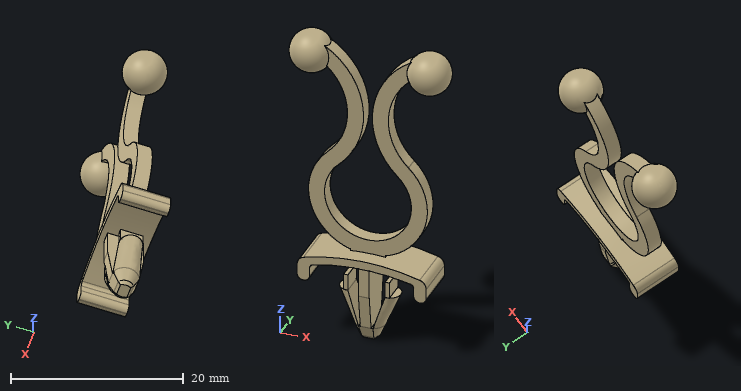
import cadquery as cq
import math

overall_width = 20.0
overall_height = 39.6

band_thickness = 2.0
band_depth = 1.85
ring_inner_radius = 5.4
ring_center_z = 18.8
arm_gap = 1.05
arm_center_z = 29.98

ball_radius = 2.65
ball_x = overall_width / 2 - ball_radius
ball_z = overall_height - ball_radius

plate_depth = 5.9
plate_half_width = 8.05
plate_top_z = 11.65
plate_thickness = 1.05
plate_arch_radius = 26.93
leg_thickness = 1.6
leg_bottom_z = 7.55
leg_outer_fillet = 1.1
leg_inner_fillet = 0.48
leg_end_fillet = 0.75
pedestal_width = 4.35

stem_width = 1.35
stem_half_depth = 2.2
barb_top_z = 6.4
tip_top_z = 2.0
nose_z = 0.4
barb_inner_x = 2.3
barb_outer_x = 3.8
barb_half_depth = 1.43
tip_edge_x = 0.9
tip_outer_x = 1.95
tip_half_depth = 1.62
nose_edge_x = 0.75
nose_outer_x = 1.23
nose_half_depth = 0.95
end_edge_x = 0.67
end_outer_x = 0.85
end_half_depth = 0.65
tab_thickness = 0.55
tab_height = 2.05
tab_depth = 2.77


def mirrored_pair(solid):
    return solid.union(solid.mirror("YZ"))


def centered_box(x_min, x_max, depth, z_min, z_max):
    box = cq.Workplane("XY").box(x_max - x_min, depth, z_max - z_min, centered=(False, True, False))
    return box.translate((x_min, 0, z_min))


def polar(center, radius, angle):
    return (center[0] + radius * math.cos(angle), center[1] + radius * math.sin(angle))


def opposite(point):
    """The matching point on the other side of the center plane."""
    return (-point[0], point[1])


def ring_with_arms():
    """Ring with both arms, as one band of tangent arcs."""
    half = band_thickness / 2
    ring_radius = ring_inner_radius + half
    ring_center = (0, ring_center_z)
    rise = arm_center_z - ring_center_z
    arm_start_x = arm_gap / 2 + half
    arm_radius = (arm_start_x**2 + rise**2 - ring_radius**2) / (2 * (ring_radius - arm_start_x))
    arm_center = (arm_start_x + arm_radius, arm_center_z)
    joint = math.atan2(rise, arm_center[0])
    arm_joint = joint + math.pi
    arm_end = math.atan2(ball_z - arm_center[1], ball_x - arm_center[0])
    arm_mid = (arm_joint + arm_end) / 2
    bottom = -math.pi / 2
    inner_joint = polar(ring_center, ring_radius - half, joint)
    outer_joint = polar(ring_center, ring_radius + half, joint)
    lower_mid = polar(arm_center, arm_radius - half, arm_mid)
    lower_end = polar(arm_center, arm_radius - half, arm_end)
    upper_mid = polar(arm_center, arm_radius + half, arm_mid)
    upper_end = polar(arm_center, arm_radius + half, arm_end)
    return (
        cq.Workplane("XZ", origin=(0, band_depth / 2, 0))
        .moveTo(*opposite(outer_joint))
        .threePointArc(polar(ring_center, ring_radius + half, bottom), outer_joint)
        .threePointArc(lower_mid, lower_end)
        .lineTo(*upper_end)
        .threePointArc(upper_mid, inner_joint)
        .threePointArc(polar(ring_center, ring_radius - half, bottom), opposite(inner_joint))
        .threePointArc(opposite(upper_mid), opposite(upper_end))
        .lineTo(*opposite(lower_end))
        .threePointArc(opposite(lower_mid), opposite(outer_joint))
        .close()
        .extrude(band_depth)
    )


def arch_z(x, radius):
    """Height of an arc about the plate's arch center."""
    return plate_top_z - plate_arch_radius + math.sqrt(radius**2 - x**2)


def spring_plate():
    inner_x = plate_half_width - leg_thickness
    under_radius = plate_arch_radius - plate_thickness
    outer_corner_z = arch_z(plate_half_width, plate_arch_radius)
    inner_corner_z = arch_z(inner_x, under_radius)
    plate = (
        cq.Workplane("XZ")
        .moveTo(-plate_half_width, outer_corner_z)
        .threePointArc((0, plate_top_z), (plate_half_width, outer_corner_z))
        .lineTo(plate_half_width, leg_bottom_z)
        .lineTo(inner_x, leg_bottom_z)
        .lineTo(inner_x, inner_corner_z)
        .threePointArc((0, plate_top_z - plate_thickness), (-inner_x, inner_corner_z))
        .lineTo(-inner_x, leg_bottom_z)
        .lineTo(-plate_half_width, leg_bottom_z)
        .close()
        .extrude(plate_depth / 2, both=True)
    )
    for x, z, radius in (
        (plate_half_width, outer_corner_z, leg_outer_fillet),
        (inner_x, inner_corner_z, leg_inner_fillet),
        (plate_half_width, leg_bottom_z, leg_end_fillet),
        (inner_x, leg_bottom_z, leg_end_fillet),
    ):
        for side in (-1, 1):
            corner = cq.selectors.NearestToPointSelector((side * x, 0, z))
            plate = plate.edges("|Y").edges(corner).fillet(radius)
    return plate


def pedestal():
    """Short block bridging the ring bottom to the plate."""
    half = pedestal_width / 2
    top_z = ring_center_z - math.sqrt((ring_inner_radius + band_thickness) ** 2 - half**2)
    bottom_z = arch_z(half, plate_arch_radius) - plate_thickness / 2
    return centered_box(-half, half, band_depth, bottom_z, top_z)


def stem():
    profile = [
        (-stem_half_depth, plate_top_z - plate_thickness / 2),
        (-stem_half_depth, barb_top_z),
        (-tip_half_depth, tip_top_z),
        (tip_half_depth, tip_top_z),
        (stem_half_depth, barb_top_z),
        (stem_half_depth, plate_top_z - plate_thickness / 2),
    ]
    return cq.Workplane("YZ").polyline(profile).close().extrude(stem_width / 2, both=True)


def bowed_section(z, inner_x, edge_x, outer_x, half_depth):
    """Section with a straight inner side and a bowed outer side."""
    section = cq.Workplane("XY", origin=(0, 0, z)).moveTo(inner_x, -half_depth)
    if edge_x > inner_x:
        section = section.lineTo(edge_x, -half_depth)
    section = section.threePointArc((outer_x, 0), (edge_x, half_depth))
    if edge_x > inner_x:
        section = section.lineTo(inner_x, half_depth)
    return section.close().val()


def loft_between(lower, upper):
    return cq.Workplane(cq.Solid.makeLoft([lower, upper], True))


def barb():
    lower = bowed_section(tip_top_z, tip_edge_x, tip_edge_x, tip_outer_x, tip_half_depth)
    upper = bowed_section(barb_top_z, barb_inner_x, barb_inner_x, barb_outer_x, barb_half_depth)
    tab = centered_box(
        barb_inner_x, barb_inner_x + tab_thickness, tab_depth, barb_top_z, barb_top_z + tab_height
    )
    return loft_between(lower, upper).union(tab)


def tip_half():
    top = bowed_section(tip_top_z, 0, tip_edge_x, tip_outer_x, tip_half_depth)
    nose = bowed_section(nose_z, 0, nose_edge_x, nose_outer_x, nose_half_depth)
    end = bowed_section(0, 0, end_edge_x, end_outer_x, end_half_depth)
    return loft_between(nose, top).union(loft_between(end, nose))


def ball():
    return cq.Workplane("XY").sphere(ball_radius).translate((ball_x, 0, ball_z))


clip = ring_with_arms().union(ball()).union(ball().mirror("YZ"))
anchor = stem().union(mirrored_pair(tip_half().union(barb())))
result = clip.union(pedestal()).union(spring_plate()).union(anchor)